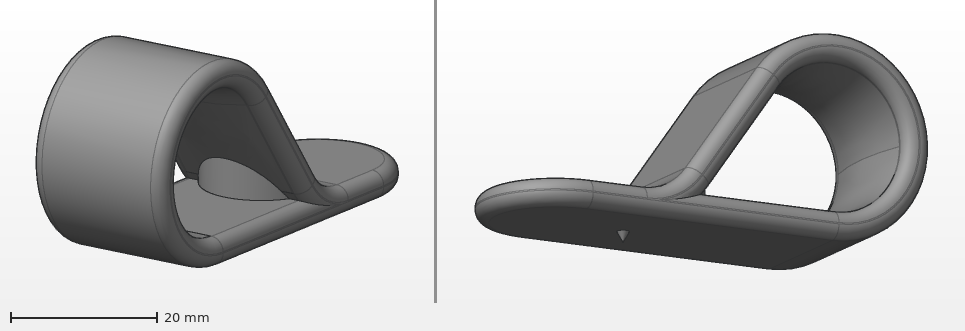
import cadquery as cq
import math

strap_width = 22.0
strap_thickness = 4.0
edge_radius = 1.9

loop_outer_radius = 14.5
loop_inner_radius = loop_outer_radius - strap_thickness
loop_middle_radius = loop_outer_radius - strap_thickness / 2
strap_end_y = 29.65
strap_slope = math.radians(54.4)

overall_length = 63.5
tab_radius = strap_width / 2
tip_y = overall_length - loop_outer_radius
tab_centre_y = tip_y - tab_radius
base_bottom = -loop_outer_radius
base_middle = -loop_middle_radius

crown_margin = 0.2
crown_width = strap_width - 2 * (edge_radius + crown_margin)
crown_height = 1.1
crown_feather = 0.03
crown_root = 0.65
crown_growth_steps = 4

boss_radius = 8.65
boss_front_y = 16.0
boss_centre_y = boss_front_y + boss_radius

pin_y = 27.55
pin_diameter = 1.8
pin_height = 1.5

bottom_angle = -math.pi / 2
front_angle = -math.pi
tangent_angle = math.pi / 2 - strap_slope


def on_loop(angle, radius):
    """Point (y, z) at a given angle and radius about the loop axis."""
    return radius * math.cos(angle), radius * math.sin(angle)


slope_foot_y = (loop_middle_radius - base_middle * math.sin(tangent_angle)) / math.cos(tangent_angle)
bend_radius = (strap_end_y - slope_foot_y) / math.tan(strap_slope / 2)


def on_bend(angle):
    """Point (y, z) on the middle of the bend, at an angle back from where it meets the base."""
    y = strap_end_y - bend_radius * math.sin(angle)
    z = base_middle + bend_radius * (1 - math.cos(angle))
    return y, z


slope_top = on_loop(tangent_angle, loop_middle_radius)
slope_bottom = on_bend(strap_slope)
slope_length = math.dist(slope_top, slope_bottom)


def make_base():
    return (
        cq.Workplane("XY", origin=(0, 0, base_bottom))
        .moveTo(-tab_radius, 0)
        .lineTo(tab_radius, 0)
        .lineTo(tab_radius, tab_centre_y)
        .threePointArc((0, tip_y), (-tab_radius, tab_centre_y))
        .close()
        .extrude(strap_thickness)
        .edges("(not |Z) and (not <Y)")
        .fillet(edge_radius)
    )


def make_loop():
    """Strap that leaves the base, goes round the loop and slopes back down onto the base."""
    middle_line = (
        cq.Workplane("YZ")
        .moveTo(0, base_middle)
        .threePointArc(on_loop(front_angle, loop_middle_radius), slope_top)
        .lineTo(*slope_bottom)
        .threePointArc(on_bend(strap_slope / 2), (strap_end_y, base_middle))
    )
    section = (
        cq.Sketch()
        .rect(strap_width, strap_thickness)
        .vertices()
        .fillet(edge_radius)
    )
    return cq.Workplane("XZ").center(0, base_middle).placeSketch(section).sweep(middle_line)


def crown_section(angle, height, distance=0):
    """Closed wire of the crown, rooted in the strap, at a distance down the tangent at an angle."""
    y, z = on_loop(angle, loop_inner_radius)
    origin = (0, y + distance * math.sin(angle), z - distance * math.cos(angle))
    normal = (0, math.sin(angle), -math.cos(angle))
    half = crown_width / 2
    root_half = half - crown_root
    plane = cq.Plane(origin=origin, xDir=(1, 0, 0), normal=normal)
    return (
        cq.Workplane(plane)
        .moveTo(-root_half, -crown_root)
        .lineTo(root_half, -crown_root)
        .lineTo(half, 0)
        .threePointArc((0, height), (-half, 0))
        .close()
    )


def make_growing_crown():
    """Crown that rises from the bottom of the loop to its front."""
    sections = []
    for step in range(crown_growth_steps + 1):
        turn = step / crown_growth_steps * math.pi / 2
        height = max(crown_feather, crown_height * math.sin(turn) ** 2)
        sections.append(crown_section(bottom_angle - turn, height).val())
    return cq.Workplane(cq.Solid.makeLoft(sections))


def make_full_crown():
    """Crown of constant height over the top of the loop, from the slope to the front."""
    turn = math.degrees(math.pi - tangent_angle)
    axis_start = (0, loop_inner_radius, 0)
    axis_end = (1, loop_inner_radius, 0)
    return crown_section(tangent_angle, crown_height).revolve(turn, axis_start, axis_end)


def make_fading_crown():
    """Crown that fades out evenly down the sloping run."""
    sections = [
        crown_section(tangent_angle, crown_height).val(),
        crown_section(tangent_angle, crown_feather, slope_length).val(),
    ]
    return cq.Workplane(cq.Solid.makeLoft(sections, True))


def make_boss():
    """Upright cylinder, kept only where it lies below the middle of the sloping run."""
    cylinder = (
        cq.Workplane("XY", origin=(0, boss_centre_y, base_middle))
        .circle(boss_radius)
        .extrude(slope_top[1] - base_middle)
    )
    under_slope = (
        cq.Workplane("YZ")
        .moveTo(slope_foot_y, base_middle)
        .lineTo(*slope_top)
        .lineTo(slope_top[0], base_middle)
        .close()
        .extrude(boss_radius, both=True)
    )
    return cylinder.intersect(under_slope)


def make_pin():
    base_centre = cq.Vector(0, pin_y, base_bottom)
    down = cq.Vector(0, 0, -1)
    return cq.Workplane(cq.Solid.makeCone(pin_diameter / 2, 0, pin_height, base_centre, down))


result = (
    make_base()
    .union(make_loop())
    .union(make_growing_crown())
    .union(make_full_crown())
    .union(make_fading_crown())
    .union(make_boss())
    .union(make_pin())
)